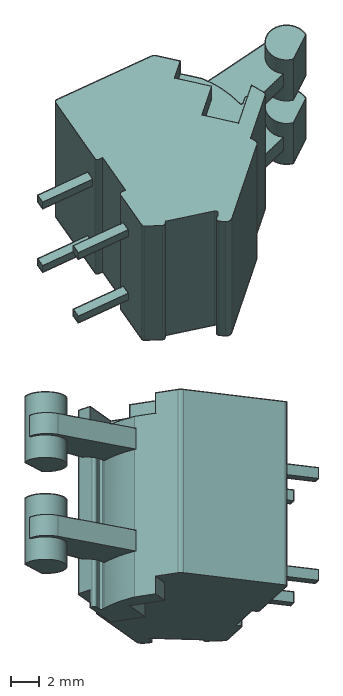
import cadquery as cq
import math

housing_height = 13.5
left_wall_height = 7.94
slope_angle = 45
left_wall_round = 0.5
edge_round = 0.2

foot_notch_left = 5.92
foot_notch_right = 9.13
foot_notch_depth = 0.5

foot_right = 12.41
foot_slant_angle = 63
catch_tip_height = 1.4
catch_root = (12.83, 1.58)
right_wall_angle = 75

hook_inner_point = (14.17, 5.0)
hook_outer_point = (14.62, 4.78)
hook_outer_angle = 54
hook_tip_round = 0.2
hook_corner_round = 0.42

bump_root = (9.54, 10.27)
bump_level = 0.57
ramp_angle = 25
bump_round = 0.35
nose_top_point = (5.76, 12.64)
nose_top_round = 0.25
nose_tip_round = 0.22
nose_groove_corner = (5.86, 11.69)
nose_groove_round = 0.12

brow_left_x = 2.48
brow_middle = (3.94, 11.17)
brow_right = (5.5, 11.6)

recess_depth = 1.5
tongue_height = 1.3
coupling_start_x = 1.36
zigzag_lengths = (1.52, 2.68, 2.56, 2.64)
zigzag_angles = (-45, 45, -45, 45)
coupling_reach = 6.0

pitch = 7.5
lever_z = 2.84
lever_thickness = 1.54
lever_end_center = (2.83, 16.78)
lever_end_radius = 1.5
lever_end_top_x = 2.4
lever_left_foot_x = 2.42
lever_right_angle = 110
lever_heel = (5.3, 13.25)
lever_hollow_middle = (5.08, 12.53)
lever_hollow_end = (5.47, 11.62)
lever_embed = 0.6

grip_center = (3.17, 16.77)
grip_radius = 1.5
grip_length = 4.84
grip_flat_distance = 0.98
grip_flat_angle = 38

pin_length = 4.0
pin_width = 0.7
pin_thickness = 0.8
pin_x = (5.05, 10.05)
pin_z = 2.78
pin_embed = 1.0


def step(point, angle, length):
    """Point reached from a point along a direction given in degrees."""
    direction = math.radians(angle)
    return (point[0] + length * math.cos(direction), point[1] + length * math.sin(direction))


def meet(point_a, angle_a, point_b, angle_b):
    """Intersection of two lines, each given by a point and an angle in degrees."""
    a = math.radians(angle_a)
    b = math.radians(angle_b)
    dx = point_b[0] - point_a[0]
    dy = point_b[1] - point_a[1]
    distance = (dx * math.sin(b) - dy * math.cos(b)) / math.sin(b - a)
    return step(point_a, angle_a, distance)


def path_with_rounds(start, corners, end):
    """Open path from start to end through (point, radius) corners."""
    points = [start] + [point for point, _ in corners] + [end]
    path = cq.Workplane("XY").moveTo(*start)
    for i, (corner, radius) in enumerate(corners):
        if radius == 0:
            path = path.lineTo(*corner)
            continue
        here = cq.Vector(*corner)
        back = (cq.Vector(*points[i]) - here).normalized()
        ahead = (cq.Vector(*points[i + 2]) - here).normalized()
        half_angle = back.getAngle(ahead) / 2
        setback = radius / math.tan(half_angle)
        arc_start = here + back * setback
        arc_end = here + ahead * setback
        arc_middle = here + (back + ahead).normalized() * (radius / math.sin(half_angle) - radius)
        path = path.lineTo(arc_start.x, arc_start.y)
        path = path.threePointArc((arc_middle.x, arc_middle.y), (arc_end.x, arc_end.y))
    return path.lineTo(*end)


def housing_profile():
    down_slope = 180 - slope_angle
    brow_left = (brow_left_x, left_wall_height + brow_left_x)
    bottom_right = (foot_right, 0)
    catch_tip = meet(bottom_right, foot_slant_angle, (0, catch_tip_height), 0)
    hook_root = meet(catch_root, right_wall_angle, hook_inner_point, down_slope)
    hook_tip = meet(hook_inner_point, down_slope, hook_outer_point, hook_outer_angle)
    lower_slope_point = step(bump_root, slope_angle, bump_level)
    hook_corner = meet(hook_outer_point, hook_outer_angle, lower_slope_point, down_slope)
    bump_corner = meet(bump_root, ramp_angle, lower_slope_point, down_slope)
    nose_top = meet(nose_top_point, ramp_angle, bump_root, down_slope)
    nose_tip = meet(nose_top_point, ramp_angle, nose_groove_corner, down_slope)
    corners = [
        ((0, left_wall_height), left_wall_round),
        ((0, 0), edge_round),
        ((foot_notch_left, 0), edge_round),
        ((foot_notch_left, foot_notch_depth), 0),
        ((foot_notch_right, foot_notch_depth), 0),
        ((foot_notch_right, 0), edge_round),
        (bottom_right, edge_round),
        (catch_tip, edge_round),
        (catch_root, 0),
        (hook_root, hook_tip_round),
        (hook_tip, hook_tip_round),
        (hook_corner, hook_corner_round),
        (bump_corner, bump_round),
        (bump_root, 0),
        (nose_top, nose_top_round),
        (nose_tip, nose_tip_round),
        (nose_groove_corner, nose_groove_round),
    ]
    path = path_with_rounds(brow_left, corners, brow_right)
    return path.threePointArc(brow_middle, brow_left).close()


def coupling_profile():
    """Zigzag region that runs out past the brow of the housing."""
    points = [(coupling_start_x, left_wall_height + coupling_start_x)]
    for length, angle in zip(zigzag_lengths, zigzag_angles):
        points.append(step(points[-1], angle, length))
    points.append(step(points[-1], 180 - slope_angle, coupling_reach))
    points.append(step(points[0], 180 - slope_angle, coupling_reach))
    return cq.Workplane("XY").polyline(points).close()


def housing():
    recess_floor = housing_height - recess_depth
    body = housing_profile().extrude(housing_height)
    recess = coupling_profile().extrude(recess_depth).translate((0, 0, recess_floor))
    tongue = housing_profile().extrude(tongue_height).intersect(coupling_profile().extrude(tongue_height))
    return body.cut(recess).union(tongue.translate((0, 0, -tongue_height)))


def lever():
    """Lever plate with its grip, centred on Z = 0."""
    left_foot = (lever_left_foot_x, left_wall_height + lever_left_foot_x)
    dx = lever_end_center[0] - left_foot[0]
    dy = lever_end_center[1] - left_foot[1]
    center_angle = math.degrees(math.atan2(dy, dx))
    tangent_swing = math.degrees(math.acos(lever_end_radius / math.hypot(dx, dy)))
    tangent_angle = center_angle + 180 - tangent_swing
    tangent_point = step(lever_end_center, tangent_angle, lever_end_radius)
    top_angle = math.degrees(math.acos((lever_end_top_x - lever_end_center[0]) / lever_end_radius))
    end_top = step(lever_end_center, top_angle, lever_end_radius)
    end_middle = step(lever_end_center, (top_angle + tangent_angle) / 2, lever_end_radius)
    neck = meet(lever_heel, lever_right_angle, grip_center, 0)
    plate = (
        cq.Workplane("XY")
        .moveTo(*left_foot)
        .lineTo(*tangent_point)
        .threePointArc(end_middle, end_top)
        .lineTo(*grip_center)
        .lineTo(*neck)
        .lineTo(*lever_heel)
        .threePointArc(lever_hollow_middle, lever_hollow_end)
        .lineTo(lever_hollow_end[0], lever_hollow_end[1] - lever_embed)
        .lineTo(left_foot[0], left_foot[1] - lever_embed)
        .close()
        .extrude(lever_thickness / 2, both=True)
    )
    half_chord = math.degrees(math.acos(grip_flat_distance / grip_radius))
    flat_start = step(grip_center, grip_flat_angle + half_chord, grip_radius)
    flat_end = step(grip_center, grip_flat_angle - half_chord, grip_radius)
    far_side = step(grip_center, grip_flat_angle + 180, grip_radius)
    grip = (
        cq.Workplane("XY")
        .moveTo(*flat_start)
        .threePointArc(far_side, flat_end)
        .close()
        .extrude(grip_length / 2, both=True)
    )
    return plate.union(grip)


def pin(x, z):
    length = pin_length + pin_embed
    bar = cq.Workplane("XY").box(pin_width, length, pin_thickness)
    return bar.translate((x, pin_embed - length / 2, z))


result = housing()
for level in (0, pitch):
    result = result.union(lever().translate((0, 0, lever_z + level)))
    for x in pin_x:
        result = result.union(pin(x, pin_z + level))